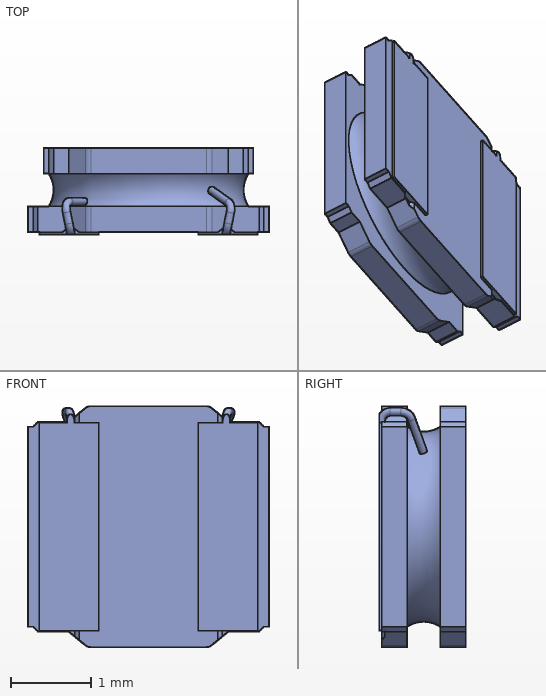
import cadquery as cq
import math


height = 3.0
front_width = 3.0
back_width = 2.61
flange_thickness = 0.32
shoulder_z = 1.305
shoulder_x = 0.995
middle_half_width = 0.757
middle_fillet = 0.1
corner_step = 0.065
corner_bevel = 0.06

core_length = 0.41
core_end_radius = 1.245
core_waist_radius = 1.185

pad_thickness = 0.03
pad_height = 2.585
pad_outer_x = 1.358
pad_inner_x = 0.616
groove_x = 0.968
groove_depth = 0.04
groove_mouth = 0.21
groove_floor = 0.1

wire_radius = 0.05
wire_seat_y = 0.023
wire_crest_z = 1.428
wire_bend_radius = 0.12

left_back_corner = (1.045, 0.407, wire_crest_z)
left_tip = (0.78, 0.407, 0.87)
right_back_corner = (1.037, 0.37, wire_crest_z)
right_tip = (0.785, 0.55, 0.93)

front_flange_y = pad_thickness
core_y = front_flange_y + flange_thickness
back_flange_y = core_y + core_length


def extruded_outline(points, start_y, length):
    """Extrude an XZ outline from start_y towards +Y."""
    plane = cq.Plane(origin=(0, start_y, 0), xDir=(1, 0, 0), normal=(0, -1, 0))
    return cq.Workplane(plane).polyline(points).close().extrude(-length)


def flange(width, start_y):
    side_x = width / 2
    step_x = side_x - corner_step
    corner = [
        (side_x, shoulder_z - corner_bevel),
        (step_x, shoulder_z - corner_bevel),
        (step_x - corner_bevel, shoulder_z),
        (shoulder_x, shoulder_z),
        (middle_half_width, height / 2),
    ]
    upper = corner + [(-x, z) for x, z in reversed(corner)]
    lower = [(-x, -z) for x, z in upper]
    body = extruded_outline(upper + lower, start_y, flange_thickness)
    return body.faces(">Z or <Z").edges("|Y").fillet(middle_fillet)


def core():
    """Spool between the flanges, waisted by a circular arc."""
    waist = (core_waist_radius, core_y + core_length / 2)
    return (
        cq.Workplane("XY")
        .moveTo(0, core_y)
        .lineTo(core_end_radius, core_y)
        .threePointArc(waist, (core_end_radius, back_flange_y))
        .lineTo(0, back_flange_y)
        .close()
        .revolve(360, (0, 0, 0), (0, 1, 0))
    )


def groove(side, length):
    """Trapezoidal groove along Z in the front flange face, centred on Z = 0."""
    floor_y = front_flange_y + groove_depth
    centre_x = side * groove_x
    return (
        cq.Workplane("XY", origin=(centre_x, 0, -length / 2))
        .polyline([
            (-groove_mouth / 2, front_flange_y),
            (groove_mouth / 2, front_flange_y),
            (groove_floor / 2, floor_y),
            (-groove_floor / 2, floor_y),
        ])
        .close()
        .extrude(length)
    )


def pad(side):
    """Flat pad plus the filling of the groove behind it."""
    centre_x = side * (pad_outer_x + pad_inner_x) / 2
    plate = cq.Workplane("XY").box(
        pad_outer_x - pad_inner_x, pad_thickness, pad_height
    ).translate((centre_x, pad_thickness / 2, 0))
    return plate.union(groove(side, pad_height))


def rounded_path(corners, radius):
    """Straight runs between the corners, joined by tangent arcs of one radius."""
    edges = []
    run_start = corners[0]
    for before, corner, after in zip(corners, corners[1:], corners[2:]):
        towards_before = (before - corner).normalized()
        towards_after = (after - corner).normalized()
        half_angle = towards_before.getAngle(towards_after) / 2
        tangent_length = radius / math.tan(half_angle)
        bisector = (towards_before + towards_after).normalized()
        arc_start = corner + towards_before * tangent_length
        arc_middle = corner + bisector * (radius / math.sin(half_angle) - radius)
        arc_end = corner + towards_after * tangent_length
        edges.append(cq.Edge.makeLine(run_start, arc_start))
        edges.append(cq.Edge.makeThreePointArc(arc_start, arc_middle, arc_end))
        run_start = arc_end
    edges.append(cq.Edge.makeLine(run_start, corners[-1]))
    return cq.Wire.assembleEdges(edges)


def wire(side, back_corner, tip):
    """Lead from inside the pad, over the front flange and down to the core.

    It is cut flush with the pads at the mounting face.
    """
    start = (groove_x, wire_seat_y, 0)
    front_corner = (groove_x, wire_seat_y, wire_crest_z)
    corners = [cq.Vector(side * x, y, z) for x, y, z in (start, front_corner, back_corner, tip)]
    path = cq.Workplane(rounded_path(corners, wire_bend_radius))
    lead = cq.Workplane("XY", origin=corners[0].toTuple()).circle(wire_radius).sweep(path)
    overhang = cq.Workplane("XY").box(
        front_width, 2 * wire_radius, height, centered=(True, False, True)
    ).translate((0, -2 * wire_radius, 0))
    return lead.cut(overhang)


front_flange = flange(front_width, front_flange_y).cut(groove(-1, height)).cut(groove(1, height))
result = front_flange.union(core()).union(flange(back_width, back_flange_y))
for side in (-1, 1):
    result = result.union(pad(side))
result = result.union(wire(-1, left_back_corner, left_tip))
result = result.union(wire(1, right_back_corner, right_tip))